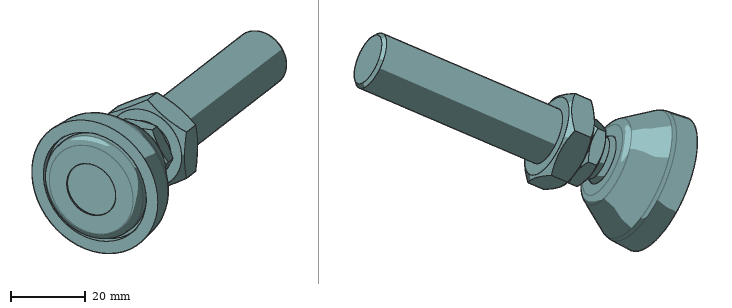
import cadquery as cq
import math

TOTAL_LENGTH = 94.7

PAD_RADIUS = 15.0
PAD_HEIGHT = 2.0
PAD_ROUND = 2.0
PAD_RECESS_RADIUS = 7.6
PAD_RECESS_DEPTH = 0.5
GROOVE_RADIUS = 15.9
GROOVE_DEPTH = 2.0
RIM_RADIUS = 19.5
SHOULDER_RADIUS = 18.9
SHOULDER_Y = 9.0
SHOULDER_ROUND = 2.5
CROWN_RADIUS = 11.8
CROWN_Y = 20.1
CROWN_ROUND = 2.8

BALL_RADIUS = 7.5
NECK_RADIUS = 6.2
NECK_START_Y = 21.7
BALL_CENTER_Y = NECK_START_Y - math.sqrt(BALL_RADIUS**2 - NECK_RADIUS**2)
HEX_START_Y = 24.1
HEX_HEIGHT = 4.6
HEX_END_Y = HEX_START_Y + HEX_HEIGHT
HEX_ACROSS_FLATS = 17.0
HEX_FACE_RADIUS = 8.05
RELIEF_RADIUS = 7.6
RELIEF_END_Y = 29.3
STUD_RADIUS = 8.05
STUD_CHAMFER = 0.9

NUT_START_Y = 29.7
NUT_HEIGHT = 8.05
NUT_ACROSS_FLATS = 24.1
NUT_FACE_RADIUS = 11.4

HEX_CHAMFER_ANGLE = 30.0


def revolve_about_y(profile):
    return profile.close().revolve(360, (0, 0, 0), (0, 1, 0))


def cylinder_along_y(radius, start_y, end_y):
    return revolve_about_y(cq.Workplane("XY").moveTo(0, start_y).lineTo(radius, start_y)
                           .lineTo(radius, end_y).lineTo(0, end_y))


def chamfered_hexagon(across_flats, height, face_radius, start_y, turn):
    """Hexagon along Y with conically chamfered corners; at zero turn two corners point along X."""
    corner_radius = across_flats / math.sqrt(3)
    chamfer_height = (corner_radius - face_radius) * math.tan(math.radians(HEX_CHAMFER_ANGLE))
    end_y = start_y + height
    prism = (
        cq.Workplane("XZ", origin=(0, start_y, 0))
        .polygon(6, 2 * corner_radius)
        .extrude(-height)
        .rotate((0, 0, 0), (0, 1, 0), turn)
    )
    envelope = revolve_about_y(
        cq.Workplane("XY")
        .moveTo(0, start_y)
        .lineTo(face_radius, start_y)
        .lineTo(corner_radius, start_y + chamfer_height)
        .lineTo(corner_radius, end_y - chamfer_height)
        .lineTo(face_radius, end_y)
        .lineTo(0, end_y)
    )
    return prism.intersect(envelope)


def make_ball():
    return cq.Workplane("XY").sphere(BALL_RADIUS).translate((0, BALL_CENTER_Y, 0))


def make_foot():
    cup = revolve_about_y(
        cq.Workplane("XY")
        .moveTo(0, PAD_HEIGHT)
        .lineTo(RIM_RADIUS, PAD_HEIGHT)
        .lineTo(SHOULDER_RADIUS, SHOULDER_Y)
        .lineTo(CROWN_RADIUS, CROWN_Y)
        .lineTo(0, CROWN_Y)
    )
    shoulder_edge = cq.selectors.NearestToPointSelector((0, SHOULDER_Y, 0))
    cup = cup.edges("%CIRCLE").edges(shoulder_edge).fillet(SHOULDER_ROUND)
    cup = cup.faces(">Y").edges().fillet(CROWN_ROUND)

    groove_floor_y = PAD_HEIGHT + GROOVE_DEPTH
    groove = cylinder_along_y(GROOVE_RADIUS, PAD_HEIGHT, groove_floor_y)
    pad = cylinder_along_y(PAD_RADIUS, 0, groove_floor_y).faces("<Y").edges().fillet(PAD_ROUND)
    recess = cylinder_along_y(PAD_RECESS_RADIUS, 0, PAD_RECESS_DEPTH)
    return cup.cut(groove).union(pad).cut(recess).cut(make_ball())


def make_spindle():
    shaft = revolve_about_y(
        cq.Workplane("XY")
        .moveTo(0, BALL_CENTER_Y)
        .lineTo(NECK_RADIUS, BALL_CENTER_Y)
        .lineTo(NECK_RADIUS, HEX_END_Y)
        .lineTo(RELIEF_RADIUS, HEX_END_Y)
        .lineTo(RELIEF_RADIUS, RELIEF_END_Y)
        .lineTo(STUD_RADIUS, NUT_START_Y)
        .lineTo(STUD_RADIUS, TOTAL_LENGTH - STUD_CHAMFER)
        .lineTo(STUD_RADIUS - STUD_CHAMFER, TOTAL_LENGTH)
        .lineTo(0, TOTAL_LENGTH)
    )
    hexagon = chamfered_hexagon(HEX_ACROSS_FLATS, HEX_HEIGHT, HEX_FACE_RADIUS, HEX_START_Y, 0)
    return shaft.union(hexagon).union(make_ball())


def make_lock_nut():
    body = chamfered_hexagon(NUT_ACROSS_FLATS, NUT_HEIGHT, NUT_FACE_RADIUS, NUT_START_Y, 30)
    return body.cut(cylinder_along_y(STUD_RADIUS, NUT_START_Y, NUT_START_Y + NUT_HEIGHT))


foot = make_foot()
spindle = make_spindle()
lock_nut = make_lock_nut()

result = cq.Compound.makeCompound([part.solids().val() for part in (foot, spindle, lock_nut)])